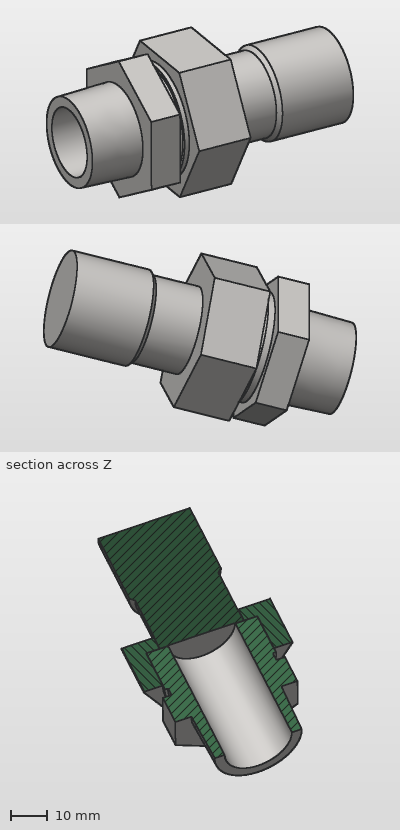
import cadquery as cq
import math

length = 80.7

hex_start = 15.4
hex_end = 24.4
relief_end = 26.6
nut_start = 28.1
nut_end = 44.1
shoulder_start = 57.5

bore_diameter = 19.7
taper_tip_diameter = 25.7
taper_ratio = 1 / 16
taper_base_diameter = taper_tip_diameter + hex_start * taper_ratio
fitting_hex_corners = 41.6
relief_diameter = 31.0
union_diameter = 32.85

nut_hex_corners = 43.9
nut_lip = 4.0
seat = nut_end - nut_lip

neck_diameter = 24.6
pipe_diameter = 27.0
shoulder_length = (pipe_diameter - neck_diameter) / 2

hex_twist = 0.5
point_up = 90.0
point_sideways = 0.0


def cylinder(diameter, start, end):
    """Cylinder on the Y axis between two stations."""
    return cq.Workplane("XZ", origin=(0, start, 0)).circle(diameter / 2).extrude(start - end)


def hexagon(corners, start, end, first_corner):
    """Hexagonal prism on the Y axis, sized across its corners."""
    angles = [math.radians(first_corner + hex_twist + 60 * i) for i in range(6)]
    points = [(corners / 2 * math.cos(a), corners / 2 * math.sin(a)) for a in angles]
    return cq.Workplane("XZ", origin=(0, start, 0)).polyline(points).close().extrude(start - end)


def make_fitting():
    """Tapered male end, hexagon, relief and union thread with a through bore."""
    outline = [
        (0, 0),
        (taper_tip_diameter / 2, 0),
        (taper_base_diameter / 2, hex_start),
        (relief_diameter / 2, hex_start),
        (relief_diameter / 2, relief_end),
        (union_diameter / 2, relief_end),
        (union_diameter / 2, seat),
        (0, seat),
    ]
    turned = cq.Workplane("XY").polyline(outline).close().revolve(360, (0, 0), (0, 1))
    hex_flange = hexagon(fitting_hex_corners, hex_start, hex_end, point_up)
    return turned.union(hex_flange).cut(cylinder(bore_diameter, 0, seat))


def make_nut():
    """Hexagonal union nut, recessed for the fitting and holed for the neck."""
    blank = hexagon(nut_hex_corners, nut_start, nut_end, point_sideways)
    recess = cylinder(union_diameter, nut_start, seat)
    neck_hole = cylinder(neck_diameter, seat, nut_end)
    return blank.cut(recess).cut(neck_hole)


def make_tailpiece():
    """Solid neck that closes the fitting bore and widens to the plain pipe end."""
    outline = [
        (0, seat),
        (neck_diameter / 2, seat),
        (neck_diameter / 2, shoulder_start),
        (pipe_diameter / 2, shoulder_start + shoulder_length),
        (pipe_diameter / 2, length),
        (0, length),
    ]
    return cq.Workplane("XY").polyline(outline).close().revolve(360, (0, 0), (0, 1))


fitting = make_fitting()
nut = make_nut()
tailpiece = make_tailpiece()

result = cq.Compound.makeCompound([fitting.val(), nut.val(), tailpiece.val()])